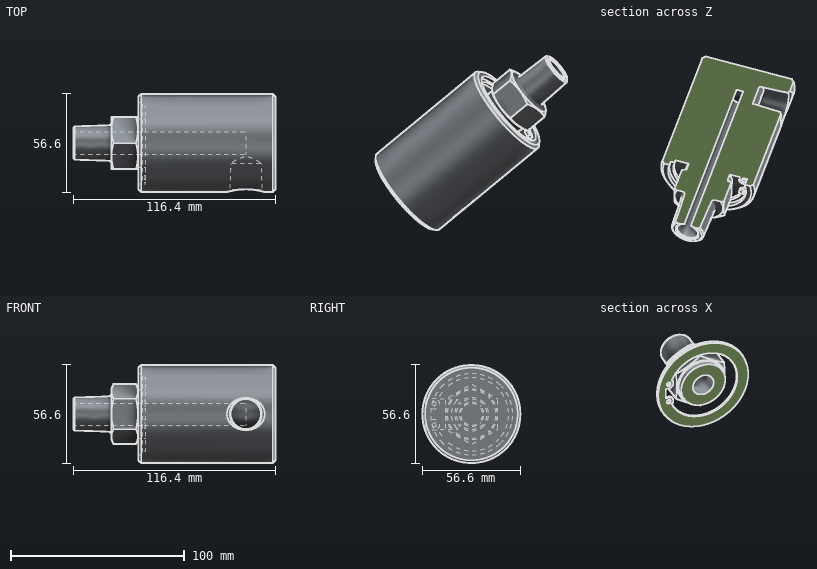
import cadquery as cq
import math


pipe_taper = 1 / 16

overall_length = 116.4
housing_start = 37.4
hex_start = 21.9
stub_taper_end = 20.4

housing_diameter = 56.6
housing_chamfer = 1.6
recess_diameter = 47.0
recess_depth = 4.2

ring_inner_diameter = 42.4
ring_face_depth = 2.5
lug_diameter = 6.0
lug_hole_diameter = 2.3
lug_radial_position = 21.5
lug_side_offset = 6.0

collar_diameter = 27.8
hex_across_flats = 30.0
hex_face_diameter = 29.2
hex_chamfer_length = 1.3
stub_tip_diameter = 17.5
stub_small_diameter = 19.3
stub_tip_chamfer = 0.8
bore_diameter = 12.7
bore_chamfer = 0.7

port_position = 99.3
port_diameter = 18.4
port_mouth_diameter = 21.8
core_diameter = 23.3

hex_end = housing_start
recess_floor = housing_start + recess_depth
ring_face = housing_start + ring_face_depth
hex_across_corners = hex_across_flats / math.cos(math.radians(30))
bore_end = port_position


def disc(diameter, start, end):
    """Solid cylinder about the X axis between two stations."""
    return cq.Workplane("YZ", origin=(start, 0, 0)).circle(diameter / 2).extrude(end - start)


def make_housing():
    body = disc(housing_diameter, housing_start, overall_length)
    body = body.faces("<X or >X").chamfer(housing_chamfer)
    return body.cut(disc(recess_diameter, housing_start, recess_floor))


def make_retaining_ring():
    """Open ring with two drilled lugs beside its gap on the -Y side."""
    thickness = recess_floor - ring_face
    plane = cq.Workplane("YZ", origin=(ring_face, 0, 0))
    gap_half_width = lug_side_offset - lug_diameter / 2
    outer_radius = recess_diameter / 2

    ring = plane.circle(outer_radius).circle(ring_inner_diameter / 2).extrude(thickness)
    gap = plane.center(-outer_radius, 0).rect(outer_radius, 2 * gap_half_width).extrude(thickness)
    ring = ring.cut(gap)

    lug_centers = [(-lug_radial_position, side * lug_side_offset) for side in (-1, 1)]
    lugs = plane.pushPoints(lug_centers).circle(lug_diameter / 2).extrude(thickness)
    feet = (
        plane.pushPoints([(y - lug_diameter / 4, z) for y, z in lug_centers])
        .rect(lug_diameter / 2, lug_diameter)
        .extrude(thickness)
    )
    lugs = lugs.union(feet).intersect(disc(recess_diameter, ring_face, recess_floor))
    holes = plane.pushPoints(lug_centers).circle(lug_hole_diameter / 2).extrude(thickness)
    return ring.union(lugs).cut(holes)


def make_hex():
    """Hexagon with corners along Z and both ends turned to a cone."""
    prism = (
        cq.Workplane("YZ", origin=(hex_start, 0, 0))
        .polygon(6, hex_across_corners)
        .extrude(hex_end - hex_start)
        .rotate((0, 0, 0), (1, 0, 0), 90)
    )
    face_radius = hex_face_diameter / 2
    corner_radius = hex_across_corners / 2
    turned_blank = (
        cq.Workplane("XY")
        .moveTo(hex_start, 0)
        .lineTo(hex_start, face_radius)
        .lineTo(hex_start + hex_chamfer_length, corner_radius)
        .lineTo(hex_end - hex_chamfer_length, corner_radius)
        .lineTo(hex_end, face_radius)
        .lineTo(hex_end, 0)
        .close()
        .revolve(360, (0, 0, 0), (1, 0, 0))
    )
    return prism.intersect(turned_blank)


def make_stub():
    """Tapered stub with a chamfered tip and a fillet running into the hexagon."""
    small_radius = stub_small_diameter / 2
    large_radius = small_radius + (stub_taper_end - stub_tip_chamfer) * pipe_taper / 2
    fillet_radius = hex_start - stub_taper_end
    fillet_center = (stub_taper_end, large_radius + fillet_radius)
    fillet_middle = (
        fillet_center[0] + fillet_radius * math.sin(math.radians(45)),
        fillet_center[1] - fillet_radius * math.cos(math.radians(45)),
    )
    return (
        cq.Workplane("XY")
        .lineTo(0, stub_tip_diameter / 2)
        .lineTo(stub_tip_chamfer, small_radius)
        .lineTo(stub_taper_end, large_radius)
        .threePointArc(fillet_middle, (hex_start, fillet_center[1]))
        .lineTo(hex_start, 0)
        .close()
        .revolve(360, (0, 0, 0), (1, 0, 0))
    )


def make_bore():
    bore = disc(bore_diameter, 0, bore_end)
    mouth = (
        cq.Workplane("YZ")
        .circle(bore_diameter / 2 + bore_chamfer)
        .workplane(offset=bore_chamfer)
        .circle(bore_diameter / 2)
        .loft()
    )
    return bore.union(mouth)


def make_port():
    """Tapered side port with a 45 degree mouth, leaving the round rotor core standing."""
    mouth_radius = port_mouth_diameter / 2
    port_radius = port_diameter / 2
    mouth_plane = -housing_diameter / 2
    mouth_end = mouth_plane + mouth_radius - port_radius
    radius_at_axis = port_radius + mouth_end * pipe_taper / 2
    port = (
        cq.Workplane("XY", origin=(port_position, 0, 0))
        .lineTo(radius_at_axis, 0)
        .lineTo(port_radius, mouth_end)
        .lineTo(mouth_radius, mouth_plane)
        .lineTo(0, mouth_plane)
        .close()
        .revolve(360, (0, 0, 0), (0, 1, 0))
    )
    return port.cut(disc(core_diameter, housing_start, overall_length))


collar = disc(collar_diameter, hex_end, recess_floor)

result = make_housing().union(make_retaining_ring()).union(collar)
result = result.union(make_hex()).union(make_stub())
result = result.cut(make_bore()).cut(make_port())